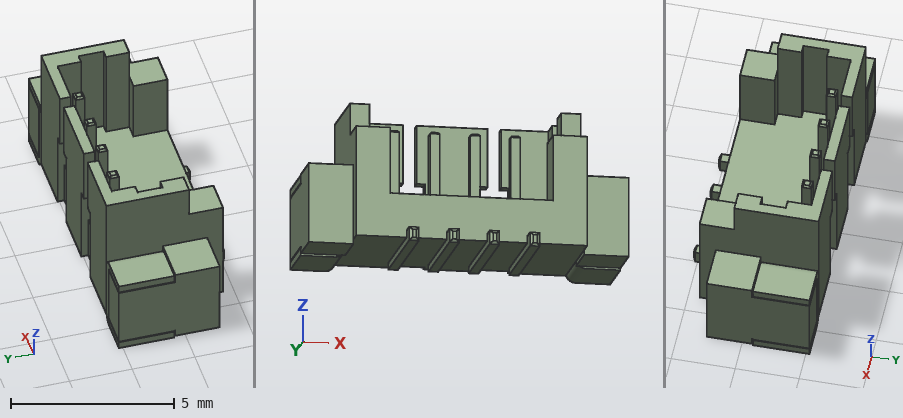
import cadquery as cq

OVERALL_LENGTH = 9.95
OVERALL_HEIGHT = 4.66
OVERALL_DEPTH = 4.24

SHELL_WIDTH = 7.18
SHELL_DEPTH = 3.72
SHELL_BOTTOM = 0.21
FLOOR_TOP = 1.59
BACK_WALL = 0.35
SIDE_WALL = 0.61
SIDE_WALL_DEPTH = 2.64
POST_WIDTH = 1.05
POST_TOP = 3.66
CAVITY_WIDTH = SHELL_WIDTH - 2 * SIDE_WALL

RELIEF_CUT = 0.27
RELIEF_START = 1.09
RELIEF_LENGTH = 0.8

SLOT_OFFSET = 1.31
SLOT_WIDTH = 0.42
WINDOW_WIDTH = 0.96
WINDOW_TOP = 2.82
SILL_TOP = 1.65
BACK_GROOVE_DEPTH = 0.22

PIN_COUNT = 4
PIN_PITCH = 1.25
PIN_WIDTH = 0.3
PIN_BACK = 0.56
PIN_TOP = 4.35
LEG_HEIGHT = 0.43
POST_TIP_CHAMFER = 0.06
LEG_TIP_LENGTH = 0.06
LEG_TIP_INSET = 0.09

LUG_DEPTH = 3.21
LUG_BOTTOM = 0.06
LUG_TOP = 2.56

TAB_DEPTH = 1.77
TAB_TOP = 2.53
TAB_THICKNESS = 0.24
TAB_BEND_RADIUS = 0.32
TAB_CLEARANCE = 0.03


def block(x_min, x_max, y_back, y_front, z_min, z_max):
    """Box whose Y limits are given as distances forward of the back face."""
    size = (x_max - x_min, y_front - y_back, z_max - z_min)
    return cq.Workplane("XY").box(*size, centered=False).translate((x_min, -y_front, z_min))


def centred_block(x_centre, width, y_back, y_front, z_min, z_max):
    """Block placed symmetrically about a given X."""
    return block(x_centre - width / 2, x_centre + width / 2, y_back, y_front, z_min, z_max)


def make_shell():
    """Open-front tray with tall back and side walls and two lower front posts."""
    shell = centred_block(0, SHELL_WIDTH, 0, SHELL_DEPTH, SHELL_BOTTOM, OVERALL_HEIGHT)
    above_posts = centred_block(0, SHELL_WIDTH, SIDE_WALL_DEPTH, SHELL_DEPTH, POST_TOP, OVERALL_HEIGHT)
    cavity = centred_block(0, CAVITY_WIDTH, BACK_WALL, SIDE_WALL_DEPTH, FLOOR_TOP, OVERALL_HEIGHT)
    gap_width = SHELL_WIDTH - 2 * POST_WIDTH
    front_gap = centred_block(0, gap_width, SIDE_WALL_DEPTH, SHELL_DEPTH, FLOOR_TOP, OVERALL_HEIGHT)
    relief_span = CAVITY_WIDTH + 2 * RELIEF_CUT
    relief_end = RELIEF_START + RELIEF_LENGTH
    reliefs = centred_block(0, relief_span, RELIEF_START, relief_end, FLOOR_TOP, OVERALL_HEIGHT)
    return shell.cut(above_posts).cut(cavity).cut(front_gap).cut(reliefs)


def make_back_opening(x_centre):
    """Narrow slot over a wider window, with a groove below it in the back face."""
    slot = centred_block(x_centre, SLOT_WIDTH, 0, BACK_WALL, SILL_TOP, OVERALL_HEIGHT)
    window = centred_block(x_centre, WINDOW_WIDTH, 0, BACK_WALL, SILL_TOP, WINDOW_TOP)
    groove = centred_block(x_centre, WINDOW_WIDTH, 0, BACK_GROOVE_DEPTH, SHELL_BOTTOM, SILL_TOP)
    return slot.union(window).union(groove)


def make_leg_tip(x_centre):
    """Tapered front end of a contact leg."""
    tip_base = cq.Workplane("XZ", origin=(x_centre, LEG_TIP_LENGTH - OVERALL_DEPTH, LEG_HEIGHT / 2))
    return (
        tip_base.rect(PIN_WIDTH, LEG_HEIGHT)
        .workplane(offset=LEG_TIP_LENGTH)
        .rect(PIN_WIDTH - 2 * LEG_TIP_INSET, LEG_HEIGHT - 2 * LEG_TIP_INSET)
        .loft(ruled=True)
    )


def make_pin(x_centre):
    """L-shaped contact: an upright post and a tapered leg running forward on the board."""
    post = centred_block(x_centre, PIN_WIDTH, PIN_BACK, PIN_BACK + PIN_WIDTH, 0, PIN_TOP)
    tip_start = OVERALL_DEPTH - LEG_TIP_LENGTH
    leg = centred_block(x_centre, PIN_WIDTH, PIN_BACK, tip_start, 0, LEG_HEIGHT)
    post = post.faces(">Z").chamfer(POST_TIP_CHAMFER)
    leg = leg.union(make_leg_tip(x_centre))
    return post.union(leg)


def make_right_lug():
    """Lug with a full front block and a thinner core that the tab wraps around."""
    x_wall = SHELL_WIDTH / 2
    x_outer = OVERALL_LENGTH / 2
    front_block = block(x_wall, x_outer, TAB_DEPTH + TAB_CLEARANCE, LUG_DEPTH, LUG_BOTTOM, LUG_TOP)
    inset = TAB_THICKNESS + TAB_CLEARANCE
    core = block(x_wall + inset, x_outer, 0, TAB_DEPTH + TAB_CLEARANCE, inset, TAB_TOP - inset)
    core = core.edges("|Y and <X").fillet(TAB_BEND_RADIUS - inset)
    return front_block.union(core)


def make_right_tab():
    """C-shaped strip opening outward, its web against the shell wall."""
    x_wall = SHELL_WIDTH / 2
    x_outer = OVERALL_LENGTH / 2
    outer = block(x_wall, x_outer, 0, TAB_DEPTH, 0, TAB_TOP)
    outer = outer.edges("|Y and <X").fillet(TAB_BEND_RADIUS)
    inner_top = TAB_TOP - TAB_THICKNESS
    inner = block(x_wall + TAB_THICKNESS, x_outer, 0, TAB_DEPTH, TAB_THICKNESS, inner_top)
    inner = inner.edges("|Y and <X").fillet(TAB_BEND_RADIUS - TAB_THICKNESS)
    return outer.cut(inner)


def make_housing():
    """Shell, both lugs and the contact pins as one solid."""
    housing = make_shell()
    for x_centre in (-SLOT_OFFSET, SLOT_OFFSET):
        housing = housing.cut(make_back_opening(x_centre))
    right_lug = make_right_lug()
    housing = housing.union(right_lug).union(right_lug.mirror("YZ"))
    for i in range(PIN_COUNT):
        housing = housing.union(make_pin((i - (PIN_COUNT - 1) / 2) * PIN_PITCH))
    return housing


housing = make_housing()
right_tab = make_right_tab()
solder_tabs = [right_tab, right_tab.mirror("YZ")]

result = cq.Compound.makeCompound([housing.val(), *[tab.val() for tab in solder_tabs]])